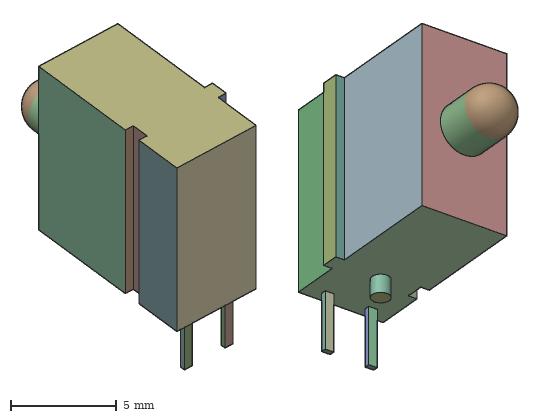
import cadquery as cq

total_length = 13.5
led_reach = 3.4
housing_length = total_length - led_reach
housing_width = 4.95
housing_height = 10.0

rib_start = 6.33
rib_width = 1.0
rib_depth = 0.5
rib_center = rib_start + rib_width / 2

peg_diameter = rib_width
peg_length = 1.0

led_diameter = 2.8
led_radius = led_diameter / 2
led_height = housing_height / 2

lead_thickness = 0.3
lead_width = 0.5
lead_length = 3.2
lead_pitch = 2.54
lead_back_offset = 0.72
lead_x = housing_length - lead_back_offset


def make_housing():
    """Block with a rib on +Y, a groove on -Y and a peg below."""
    block = cq.Workplane("XY").box(
        housing_length, housing_width, housing_height, centered=(False, True, False)
    )
    strip = cq.Workplane("XY").box(
        rib_width, rib_depth, housing_height, centered=(True, False, False)
    )
    rib = strip.translate((rib_center, housing_width / 2, 0))
    groove = strip.translate((rib_center, -housing_width / 2, 0))
    peg = (
        cq.Workplane("XY")
        .center(rib_center, 0)
        .circle(peg_diameter / 2)
        .extrude(-peg_length)
    )
    return block.union(rib).cut(groove).union(peg)


def make_led():
    """Half profile of a cylinder with a hemispherical nose, revolved about its axis."""
    nose_start = led_radius - led_reach
    nose_mid = led_radius * 0.5 ** 0.5
    return (
        cq.Workplane("XY", origin=(0, 0, led_height))
        .moveTo(0, 0)
        .lineTo(0, led_radius)
        .lineTo(nose_start, led_radius)
        .threePointArc((nose_start - nose_mid, nose_mid), (-led_reach, 0))
        .close()
        .revolve(360, (0, 0, 0), (1, 0, 0))
    )


def make_lead(y):
    """Flat lead hanging from the underside of the housing."""
    return (
        cq.Workplane("XY")
        .center(lead_x, y)
        .rect(lead_thickness, lead_width)
        .extrude(-lead_length)
    )


housing = make_housing()
led = make_led()
leads = [make_lead(side * lead_pitch / 2) for side in (-1, 1)]

result = cq.Compound.makeCompound(
    [housing.val(), led.val(), *[lead.val() for lead in leads]]
)